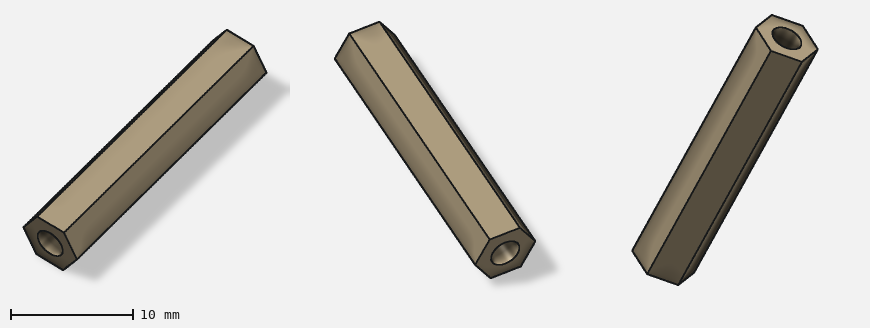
import cadquery as cq
import math

length = 25.4
across_flats = 4.8
bore_diameter = 2.6
roll_angle = -1.0
side_count = 6
across_corners = across_flats / math.cos(math.pi / side_count)


def hexagon_corner(index):
    """Return the (x, z) position of one corner of the turned hexagon."""
    angle = math.radians(roll_angle + index * 360 / side_count)
    radius = across_corners / 2
    return radius * math.cos(angle), radius * math.sin(angle)


corners = [hexagon_corner(index) for index in range(side_count)]
bar = cq.Workplane("XZ").polyline(corners).close().extrude(length / 2, both=True)

bore = cq.Workplane("XZ").circle(bore_diameter / 2).extrude(length / 2, both=True)

result = bar.cut(bore)